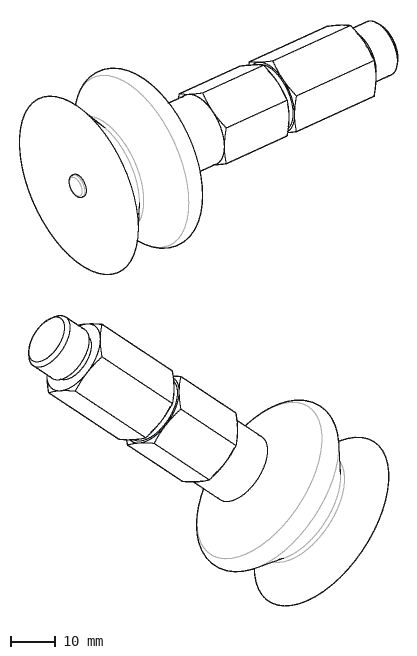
import cadquery as cq
import math

total_length = 87.9

cup_radius = 43.0 / 2
waist_radius = 13.5
waist_edge_radius = 13.8
waist_start = 6.4
waist_end = 7.65
bulge_y = 17.05
bulge_round = 2.9
shoulder_y = 25.5
pin_radius = 5.45 / 2
pin_height = 0.9
pin_round = 0.4

across_flats = 17.05
shank_radius = 17.0 / 2
lower_hex_start = 35.0
lower_hex_end = 53.5
collar_radius = 16.0 / 2
upper_hex_start = 55.1
upper_hex_end = 78.5
hex_chamfer_length = 0.5
neck_radius = 11.4 / 2
neck_end = 80.1
tip_radius = 13.2 / 2
tip_end = total_length - pin_height
tip_chamfer = 0.9


def revolve_profile(profile):
    """Turn a closed (radius, Y) profile around the Y axis."""
    return profile.close().revolve(360, (0, 0, 0), (0, 1, 0))


def cylinder(radius, start, end):
    """Solid cylinder along Y between two positions."""
    return cq.Workplane("XZ", origin=(0, start, 0)).circle(radius).extrude(start - end)


def tangent_point(point, center, radius, side):
    """Point where a line from an outside point touches a circle; side is +1 or -1."""
    dx = point[0] - center[0]
    dy = point[1] - center[1]
    angle = math.atan2(dy, dx) + side * math.acos(radius / math.hypot(dx, dy))
    return (center[0] + radius * math.cos(angle), center[1] + radius * math.sin(angle))


def suction_cup():
    """Flared lip, narrow waist and rounded bulge, tapering to the shank."""
    waist_top = (waist_edge_radius, waist_end)
    waist_middle = (waist_radius, (waist_start + waist_end) / 2)
    shoulder = (shank_radius, shoulder_y)
    bulge_center = (cup_radius - bulge_round, bulge_y)
    lower_tangent = tangent_point(waist_top, bulge_center, bulge_round, 1)
    upper_tangent = tangent_point(shoulder, bulge_center, bulge_round, -1)
    profile = (
        cq.Workplane("XY")
        .lineTo(cup_radius, 0)
        .lineTo(waist_edge_radius, waist_start)
        .threePointArc(waist_middle, waist_top)
        .lineTo(*lower_tangent)
        .threePointArc((cup_radius, bulge_y), upper_tangent)
        .lineTo(*shoulder)
        .lineTo(0, shoulder_y)
    )
    return revolve_profile(profile)


def hex_section(start, end):
    """Hexagon with corners along Z, its ends turned down to the across-flats circle."""
    flat_radius = across_flats / 2
    corner_radius = flat_radius / math.cos(math.pi / 6)
    prism = (
        cq.Workplane("XZ", origin=(0, start, 0))
        .transformed(rotate=(0, 0, 90))
        .polygon(6, 2 * corner_radius)
        .extrude(start - end)
    )
    envelope = (
        cq.Workplane("XY")
        .moveTo(0, start)
        .lineTo(flat_radius, start)
        .lineTo(corner_radius, start + hex_chamfer_length)
        .lineTo(corner_radius, end - hex_chamfer_length)
        .lineTo(flat_radius, end)
        .lineTo(0, end)
    )
    return prism.intersect(revolve_profile(envelope))


pin = cylinder(pin_radius, -pin_height, 0).faces("<Y").fillet(pin_round)
shank = cylinder(shank_radius, shoulder_y, lower_hex_start)
collar = cylinder(collar_radius, lower_hex_end, upper_hex_start)
neck = cylinder(neck_radius, upper_hex_end, neck_end)
tip = cylinder(tip_radius, neck_end, tip_end).faces(">Y").chamfer(tip_chamfer)

result = (
    suction_cup()
    .union(pin)
    .union(shank)
    .union(hex_section(lower_hex_start, lower_hex_end))
    .union(collar)
    .union(hex_section(upper_hex_start, upper_hex_end))
    .union(neck)
    .union(tip)
)